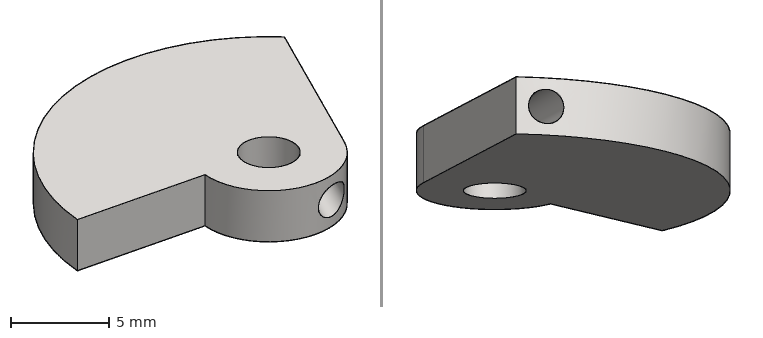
import math

import cadquery as cq

thickness = 3.0
hub_radius = 4.0
sector_radius = 12.0
bore_diameter = 3.2
cross_hole_diameter = 1.8
cross_hole_edge_distance = 1.5
radial_edge_angle = -70.0


def polar(radius, angle):
    """Point at the given radius and angle about the pivot."""
    radians = math.radians(angle)
    return (radius * math.cos(radians), radius * math.sin(radians))


def sector_plate():
    """Sector with a rounded hub at the pivot and a straight edge tangent to the hub."""
    corner_angle = 180.0 - math.degrees(math.asin(hub_radius / sector_radius))
    rim_end_angle = radial_edge_angle + 360.0
    rim_middle_angle = (corner_angle + rim_end_angle) / 2
    hub_middle_angle = (radial_edge_angle + 90.0) / 2
    return (
        cq.Workplane("XY")
        .moveTo(*polar(sector_radius, corner_angle))
        .threePointArc(polar(sector_radius, rim_middle_angle), polar(sector_radius, rim_end_angle))
        .lineTo(*polar(hub_radius, radial_edge_angle))
        .threePointArc(polar(hub_radius, hub_middle_angle), (0, hub_radius))
        .close()
        .extrude(thickness)
    )


def pivot_bore():
    """Cutter for the vertical bore through the hub."""
    return cq.Workplane("XY").circle(bore_diameter / 2).extrude(thickness)


def cross_hole():
    """Cutter for the hole along X, at mid thickness, through the whole plate."""
    hole_y = hub_radius - cross_hole_edge_distance
    return (
        cq.Workplane("YZ")
        .center(hole_y, thickness / 2)
        .circle(cross_hole_diameter / 2)
        .extrude(sector_radius, both=True)
    )


result = sector_plate().cut(pivot_bore()).cut(cross_hole())